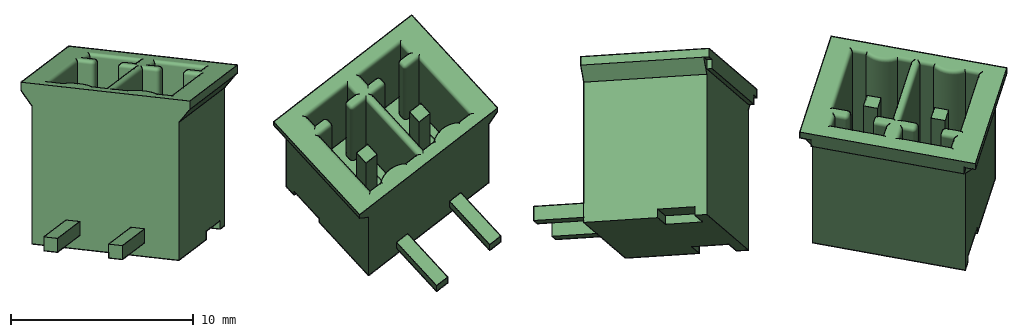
import cadquery as cq
import math

height = 9.2
total_depth = 10.7
flange_width = 9.91
flange_depth = 7.3
flange_rim = 0.48
flange_drop = 1.3
body_width = 8.62
rear_overhang = 0.3
rear_tab_drop = 1.0
body_depth = flange_depth - rear_overhang

notch_front = 4.2
notch_back = 6.31
notch_height = 0.48
notch_inset = 1.6

pitch = 3.81
pole_positions = (-pitch / 2, pitch / 2)
cavity_floor = 2.2
edge_radius = 0.2
chamber_half_width = 1.66
chamber_front = 0.76
rib_front = 5.04
rib_back = 5.68
rib_gap_half = 0.67
key_half_width = 1.44
key_back = 6.36
bump_radius = 1.48
bump_height = 0.3

pin_size = 0.8
pin_y = 3.0
pin_top = 7.84
pin_leg_z = 1.2
pin_reach = total_depth - flange_depth
collar_base_radius = 1.1
collar_top_radius = 0.91
collar_height = 1.0


def make_housing():
    """Body with flared flange on both sides and a tab under the rear overhang."""
    half_body = body_width / 2
    half_flange = flange_width / 2
    profile = [
        (-half_body, 0),
        (half_body, 0),
        (half_body, height - flange_drop),
        (half_flange, height - flange_rim),
        (half_flange, height),
        (-half_flange, height),
        (-half_flange, height - flange_rim),
        (-half_body, height - flange_drop),
    ]
    body = cq.Workplane("XZ").polyline(profile).close().extrude(-body_depth)
    rim = cq.Workplane("XY").box(flange_width, flange_depth, flange_rim, centered=(True, False, False))
    tab = cq.Workplane("XY").box(body_width, rear_overhang, rear_tab_drop, centered=(True, False, False))
    return (
        body
        .union(rim.translate((0, 0, height - flange_rim)))
        .union(tab.translate((0, body_depth, height - rear_tab_drop)))
    )


def make_cavity(x):
    """Cavity of one pole: main chamber, two ribs with a gap, and a key slot behind them."""
    bump_half_chord = math.sqrt(bump_radius**2 - (bump_radius - bump_height) ** 2)
    return (
        cq.Workplane("XY", origin=(x, 0, cavity_floor))
        .moveTo(-chamber_half_width, chamber_front)
        .lineTo(-bump_half_chord, chamber_front)
        .threePointArc((0, chamber_front + bump_height), (bump_half_chord, chamber_front))
        .lineTo(chamber_half_width, chamber_front)
        .lineTo(chamber_half_width, rib_front)
        .lineTo(rib_gap_half, rib_front)
        .lineTo(rib_gap_half, rib_back)
        .lineTo(key_half_width, rib_back)
        .lineTo(key_half_width, key_back)
        .lineTo(-key_half_width, key_back)
        .lineTo(-key_half_width, rib_back)
        .lineTo(-rib_gap_half, rib_back)
        .lineTo(-rib_gap_half, rib_front)
        .lineTo(-chamber_half_width, rib_front)
        .close()
        .extrude(height - cavity_floor)
    )


def round_cavity_edges(housing):
    """Round the upright rib edges together with the whole rim of each cavity."""
    top_face = housing.faces(">Z").val()
    edges = [edge for rim in top_face.innerWires() for edge in rim.Edges()]
    for x in pole_positions:
        for side in (-rib_gap_half, rib_gap_half):
            for y in (rib_front, rib_back):
                middle = (x + side, y, (height + cavity_floor) / 2)
                edges.append(housing.edges(cq.selectors.NearestToPointSelector(middle)).val())
    return housing.newObject(edges).fillet(edge_radius)


def make_notch(side):
    """Bottom notch opening on the left (side = -1) or right (side = 1) wall."""
    return cq.Workplane("XY").box(
        notch_inset, notch_back - notch_front, notch_height, centered=(True, False, False)
    ).translate((side * (body_width - notch_inset) / 2, notch_front, 0))


def make_contact(x):
    """Square L-shaped pin with a tapered collar on the cavity floor."""
    leg_bottom = pin_leg_z - pin_size / 2
    post = cq.Workplane("XY", origin=(x, pin_y, leg_bottom)).rect(pin_size, pin_size)
    leg = cq.Workplane("XZ", origin=(x, -pin_reach, pin_leg_z)).rect(pin_size, pin_size)
    collar = (
        cq.Workplane("XY", origin=(x, pin_y, cavity_floor))
        .circle(collar_base_radius)
        .workplane(offset=collar_height)
        .circle(collar_top_radius)
        .loft()
    )
    return post.extrude(pin_top - leg_bottom).union(leg.extrude(-pin_reach - pin_y)).union(collar)


result = make_housing()
for pole_x in pole_positions:
    result = result.cut(make_cavity(pole_x))
result = round_cavity_edges(result)
for wall_side in (-1, 1):
    result = result.cut(make_notch(wall_side))
for pole_x in pole_positions:
    result = result.union(make_contact(pole_x))